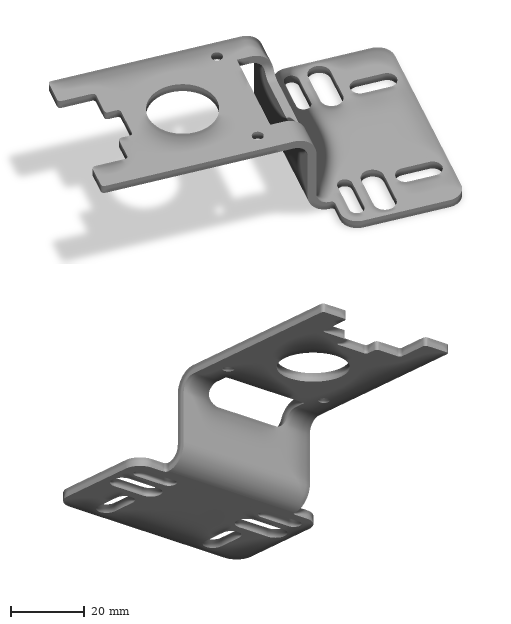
import cadquery as cq

length = 102.0
height = 28.0
thickness = 2.5
inner_bend = 4.0
outer_bend = inner_bend + thickness
small_round = 0.9
margin = 1.0

flange_width = 65.0
flange_depth = 35.0
flange_corner = 5.0
neck_width = 44.8
wall_back = 40.0

back = length / 2
front = -length / 2
wall_rear_y = back - wall_back
wall_front_y = wall_rear_y - thickness

side_slot_x = 22.1
flange_slots = [
    (18.9, 9.2, 13.5, 5.6, 90),
    (side_slot_x, 21.9, 16.7, 6.5, 0),
    (side_slot_x, 30.0, 14.2, 4.3, 0),
]

window_width = 27.7
window_front_y = back - 50.4
window_drop = 7.9
window_corner = 4.0

pin_hole_diameter = 3.3
pin_hole_x = 16.9
pin_hole_y = back - 55.1
main_hole_diameter = 20.0
main_hole_y = back - 70.9
mouth_width = window_width
mouth_depth = 10.6
inner_notch_width = 10.8
notch_depth = 14.9


def bent_sheet():
    """Z-shaped side profile extruded across the full width."""
    upper_bottom = height - thickness
    lower_bend_y = wall_front_y + outer_bend
    upper_bend_y = wall_rear_y - outer_bend
    profile = (
        cq.Workplane("YZ")
        .moveTo(back, 0)
        .lineTo(lower_bend_y, 0)
        .radiusArc((wall_front_y, outer_bend), outer_bend)
        .lineTo(wall_front_y, height - outer_bend)
        .radiusArc((upper_bend_y, upper_bottom), -inner_bend)
        .lineTo(front, upper_bottom)
        .lineTo(front, height)
        .lineTo(upper_bend_y, height)
        .radiusArc((wall_rear_y, height - outer_bend), outer_bend)
        .lineTo(wall_rear_y, outer_bend)
        .radiusArc((lower_bend_y, thickness), -inner_bend)
        .lineTo(back, thickness)
        .close()
    )
    return profile.extrude(flange_width / 2, both=True)


def plan_outline():
    """Rounded plan shape of the bracket, extruded over its full height."""
    shoulder_y = back - flange_depth
    flange = (
        cq.Workplane("XY")
        .rect(flange_width, flange_depth)
        .extrude(height)
        .translate((0, back - flange_depth / 2, 0))
        .edges("|Z")
        .fillet(flange_corner)
    )
    neck_back_y = shoulder_y + flange_corner
    neck = (
        cq.Workplane("XY")
        .rect(neck_width, neck_back_y - front)
        .extrude(height)
        .translate((0, (neck_back_y + front) / 2, 0))
    )
    blank = flange.union(neck)
    for width, depth in ((mouth_width, mouth_depth), (inner_notch_width, notch_depth)):
        notch = cq.Workplane("XY").center(0, front).rect(width, 2 * depth).extrude(height)
        blank = blank.cut(notch)

    corner_zone = cq.selectors.BoxSelector(
        (-neck_width, front - margin, -margin),
        (neck_width, front + notch_depth + margin, height + margin),
    )
    shoulder_zone = cq.selectors.BoxSelector(
        (-neck_width / 2 - margin, shoulder_y - margin, -margin),
        (neck_width / 2 + margin, shoulder_y + margin, height + margin),
    )
    return blank.edges("|Z").edges(corner_zone + shoulder_zone).fillet(small_round)


def slot_cutters():
    """Mirrored pairs of round-ended slots through the lower flange."""
    cutters = cq.Workplane("XY")
    for x, from_back, slot_length, slot_width, angle in flange_slots:
        cutters = cutters.union(
            cq.Workplane("XY")
            .pushPoints([(-x, back - from_back), (x, back - from_back)])
            .slot2D(slot_length, slot_width, angle)
            .extrude(thickness)
        )
    return cutters


def window_cutter():
    """Opening through the upper bend, with rounded corners low in the wall."""
    window_depth = wall_rear_y - window_front_y
    return (
        cq.Workplane("XY")
        .box(window_width, window_depth, window_drop, centered=(True, False, False))
        .translate((0, window_front_y, height - window_drop))
        .edges("|Y and <Z")
        .fillet(window_corner)
    )


def hole_cutters():
    """Pin holes and main round hole through the upper flange."""
    base = cq.Workplane("XY").workplane(offset=height - thickness)
    pin_holes = (
        base.pushPoints([(-pin_hole_x, pin_hole_y), (pin_hole_x, pin_hole_y)])
        .circle(pin_hole_diameter / 2)
        .extrude(thickness)
    )
    main_hole = base.center(0, main_hole_y).circle(main_hole_diameter / 2).extrude(thickness)
    return pin_holes.union(main_hole)


result = bent_sheet().intersect(plan_outline())
result = result.cut(slot_cutters()).cut(window_cutter()).cut(hole_cutters())